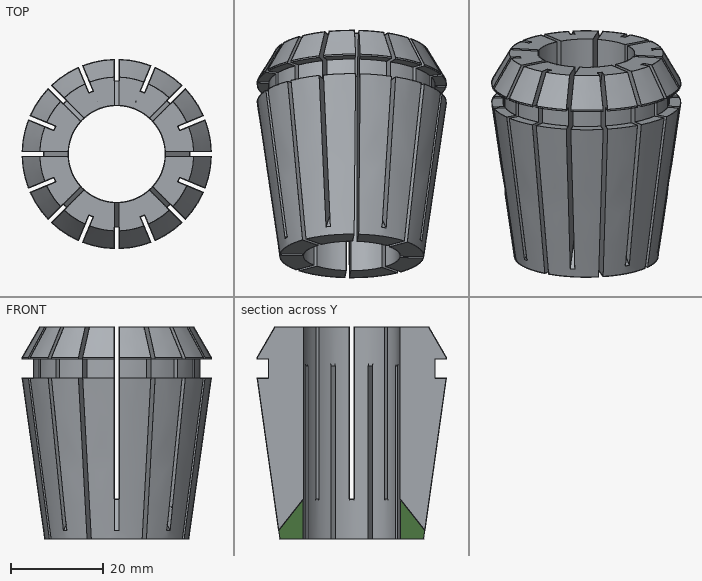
import cadquery as cq
import math

length = 46.0
max_radius = 20.5
bore_radius = 10.5

taper_angle = 8.0
groove_bottom = 34.9
groove_top = 39.0
groove_radius = 18.05

nose_angle = 30.0
rim_height = 0.35

slot_width = 1.0
slots_per_end = 8
slot_pitch = 360.0 / slots_per_end
top_slot_bore_end = 8.7
top_slot_outer_end = 1.9
top_slot_outer_radius = 15.85
bottom_slot_bore_end = 37.5
bottom_slot_face_radius = 14.55

clearance = 2.0


def tan_degrees(angle):
    return math.tan(math.radians(angle))


def make_body():
    """Revolve the half section of the unslotted collet about Z."""
    rim_top = groove_top + rim_height
    bottom_radius = max_radius - groove_bottom * tan_degrees(taper_angle)
    top_radius = max_radius - (length - rim_top) * tan_degrees(nose_angle)
    section = [
        (bore_radius, 0),
        (bottom_radius, 0),
        (max_radius, groove_bottom),
        (groove_radius, groove_bottom),
        (groove_radius, groove_top),
        (max_radius, groove_top),
        (max_radius, rim_top),
        (top_radius, length),
        (bore_radius, length),
    ]
    return cq.Workplane("XZ").polyline(section).close().revolve(360, (0, 0), (0, 1))


def extend_to_radius(start, end, radius):
    """Point at the given radius on the (radius, height) line through start and end."""
    slope = (end[1] - start[1]) / (end[0] - start[0])
    return (radius, start[1] + slope * (radius - start[0]))


def make_slot(bore_point, outer_point, open_height):
    """Radial slot along +X, from its sloping end line to its open end."""
    inner_radius = bore_radius - clearance
    outer_radius = max_radius + clearance
    outline = [
        extend_to_radius(bore_point, outer_point, inner_radius),
        extend_to_radius(bore_point, outer_point, outer_radius),
        (outer_radius, open_height),
        (inner_radius, open_height),
    ]
    return cq.Workplane("XZ").polyline(outline).close().extrude(slot_width / 2, both=True)


def cut_slot_ring(body, slot, first_angle):
    """Cut equally spaced copies of the slot around the axis."""
    for index in range(slots_per_end):
        angle = first_angle + index * slot_pitch
        body = body.cut(slot.rotate((0, 0, 0), (0, 0, 1), angle))
    return body


top_slot = make_slot(
    (bore_radius, top_slot_bore_end),
    (top_slot_outer_radius, top_slot_outer_end),
    length + clearance,
)
bottom_slot = make_slot(
    (bore_radius, bottom_slot_bore_end),
    (bottom_slot_face_radius, length),
    -clearance,
)

result = make_body()
result = cut_slot_ring(result, top_slot, 0)
result = cut_slot_ring(result, bottom_slot, slot_pitch / 2)